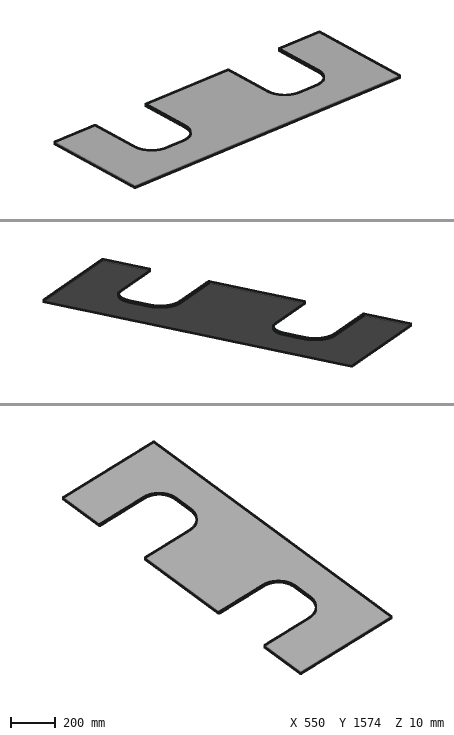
import cadquery as cq

plate_width = 550.0
plate_length = 1574.0
plate_thickness = 10.0
edge_radius = 1.5

slot_width = 300.0
slot_depth = 370.0
slot_corner_radius = 100.0
slot_spacing = 790.0
slot_centers_y = (-slot_spacing / 2, slot_spacing / 2)


def make_slot_cutter(center_y):
    """Cutter for a slot with a flat inner end and rounded inner corners."""
    cutter = cq.Workplane("XY").box(2 * slot_depth, slot_width, 2 * plate_thickness)
    cutter = cutter.edges("|Z and >X").fillet(slot_corner_radius)
    return cutter.translate((-plate_width / 2, center_y, 0))


def cut_slots(plate):
    """Cut both slots through the plate."""
    for center_y in slot_centers_y:
        plate = plate.cut(make_slot_cutter(center_y))
    return plate


def round_outer_edges(plate):
    """Round every edge of the outer side faces, slot mouths included; slot walls stay sharp."""
    return plate.faces("<X or >X or <Y or >Y").edges().fillet(edge_radius)


blank = cq.Workplane("XY").box(plate_width, plate_length, plate_thickness)
result = round_outer_edges(cut_slots(blank))